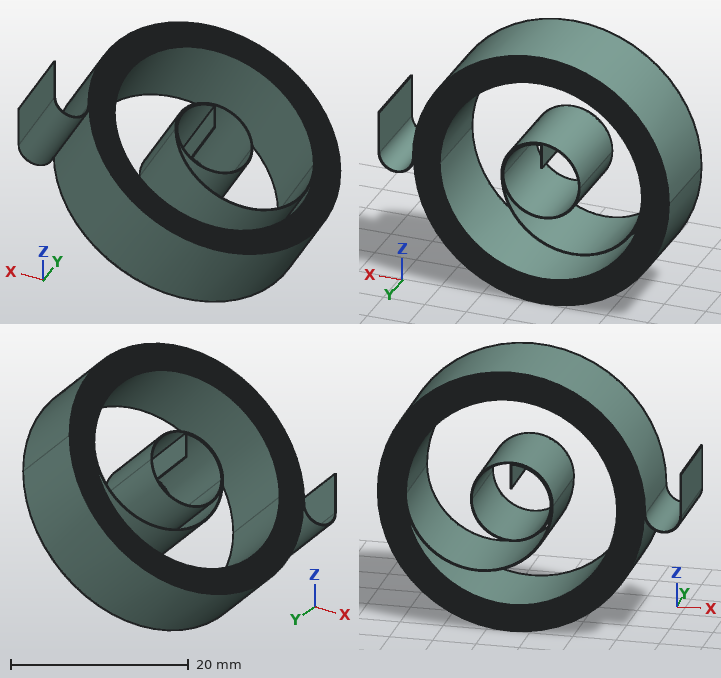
import cadquery as cq
import math

overall_length = 35.15
strip_width = 10.0
strip_thickness = 0.148
turn_clearance = 0.0025
turn_pitch = strip_thickness + turn_clearance

coil_outer_radius = 15.5
coil_turns = 22
coil_inner_radius = coil_outer_radius - strip_thickness - (coil_turns - 1) * turn_pitch

hub_inner_radius = 4.5
tab_length = 3.0

hook_outer_x = overall_length - coil_outer_radius
hook_inner_x = hook_outer_x - strip_thickness
hook_height = 5.0

hub_arc_center = turn_pitch / 4
hub_arc_inner_radius = hub_inner_radius - hub_arc_center
hub_arc_outer_radius = hub_arc_inner_radius + strip_thickness


def axis_crossings():
    """X of the strip's inner face at each half turn, alternating right and left."""
    hub = [hub_inner_radius, -(hub_inner_radius + turn_pitch / 2), hub_inner_radius + turn_pitch]
    coil = []
    for turn in range(coil_turns):
        radius = coil_inner_radius + turn * turn_pitch
        coil += [-radius, radius]
    return hub + coil


def semicircle(outline, start_x, end_x, side):
    """Add a half circle between two points on the X axis, above (1) or below (-1) it."""
    crown = ((start_x + end_x) / 2, side * abs(end_x - start_x) / 2)
    return outline.threePointArc(crown, (end_x, 0))


def winding(outline, crossings):
    """Add half turns through the crossings. Running outward, a half turn to the right passes
    above the axis and one to the left below it; running inward, the reverse."""
    outward = 1 if abs(crossings[-1]) > abs(crossings[0]) else -1
    for start_x, end_x in zip(crossings, crossings[1:]):
        rightward = 1 if end_x > start_x else -1
        outline = semicircle(outline, start_x, end_x, outward * rightward)
    return outline


def hub_arc_point(radius, x):
    """Point at x on the first hub arc, which is centred on the X axis."""
    return (x, math.sqrt(radius**2 - (x - hub_arc_center) ** 2))


def hub_arc_crown(radius):
    """Point halfway along the first hub arc, at 45 degrees."""
    return (hub_arc_center + radius * math.sqrt(0.5), radius * math.sqrt(0.5))


inner_face = axis_crossings()
outer_face = [x + math.copysign(strip_thickness, x) for x in inner_face]

tab_left_x = -strip_thickness
tab_root = hub_arc_point(hub_arc_inner_radius, 0)
tab_corner = hub_arc_point(hub_arc_outer_radius, tab_left_x)
tab_tip_z = tab_corner[1] - tab_length

outline = cq.Workplane("XZ", origin=(0, strip_width / 2, 0)).moveTo(0, tab_tip_z).lineTo(*tab_root)
outline = outline.threePointArc(hub_arc_crown(hub_arc_inner_radius), (inner_face[0], 0))
outline = winding(outline, inner_face)

outline = semicircle(outline, inner_face[-1], hook_outer_x, -1)
outline = outline.lineTo(hook_outer_x, hook_height)
outline = outline.lineTo(hook_inner_x, hook_height).lineTo(hook_inner_x, 0)
outline = semicircle(outline, hook_inner_x, outer_face[-1], -1)

outline = winding(outline, outer_face[::-1])
outline = outline.threePointArc(hub_arc_crown(hub_arc_outer_radius), tab_corner)
outline = outline.lineTo(tab_left_x, tab_tip_z).close()

result = outline.extrude(strip_width)